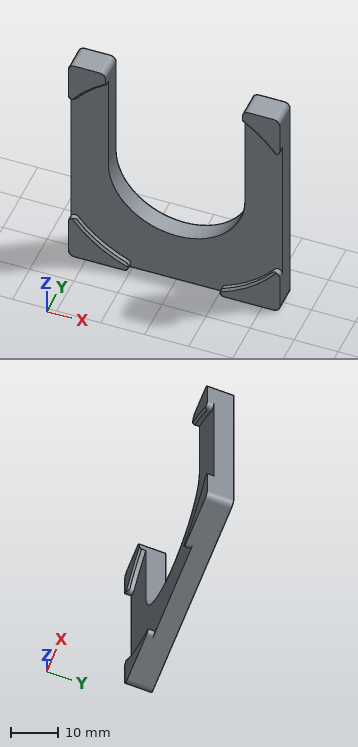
import cadquery as cq
import math

width = 48.0
height = 55.0
thickness = 6.0
corner_radius = 1.5

slot_radius = 15.5
slot_center_z = 28.0

recess_depth = 1.5
recess_radius = 28.3
chamfer = 0.5

tip_radius = 1.0

half_width = width / 2
tip_orbit = recess_radius + tip_radius


def front_plane(y):
    """XZ workplane at the given Y; extrusion runs toward -Y."""
    return cq.Workplane("XZ", origin=(0, y, slot_center_z))


def side_tip(direction):
    """Points of the tip at the right side edge: edge, extreme, tangency (direction: +1 up, -1 down)."""
    center_x = half_width - tip_radius
    center_z = math.sqrt(tip_orbit**2 - center_x**2)
    center = (center_x, center_z * direction)
    edge = (half_width, center_z * direction)
    extreme = (center_x, (center_z - tip_radius) * direction)
    tangency = tuple(c * recess_radius / tip_orbit for c in center)
    return edge, extreme, tangency


def bottom_tip():
    """Points of the tip at the bottom edge: tangency, extreme, edge."""
    center_z = tip_radius - slot_center_z
    center_x = math.sqrt(tip_orbit**2 - center_z**2)
    tangency = (center_x * recess_radius / tip_orbit, center_z * recess_radius / tip_orbit)
    extreme = (center_x - tip_radius, center_z)
    edge = (center_x, -slot_center_z)
    return tangency, extreme, edge


def recess_arc_middle(start, end):
    """Point of the recess circle halfway between two of its points."""
    angle = (math.atan2(start[1], start[0]) + math.atan2(end[1], end[0])) / 2
    return (recess_radius * math.cos(angle), recess_radius * math.sin(angle))


def lower_pad():
    edge, extreme, tangency = side_tip(-1)
    bottom_tangency, bottom_extreme, bottom_edge = bottom_tip()
    return (
        front_plane(recess_depth)
        .moveTo(half_width, -slot_center_z)
        .lineTo(*edge)
        .threePointArc(extreme, tangency)
        .threePointArc(recess_arc_middle(tangency, bottom_tangency), bottom_tangency)
        .threePointArc(bottom_extreme, bottom_edge)
        .close()
        .extrude(recess_depth)
    )


def upper_pad():
    edge, extreme, tangency = side_tip(1)
    top = height - slot_center_z
    slot_wall = (slot_radius, math.sqrt(recess_radius**2 - slot_radius**2))
    return (
        front_plane(recess_depth)
        .moveTo(half_width, top)
        .lineTo(*edge)
        .threePointArc(extreme, tangency)
        .threePointArc(recess_arc_middle(tangency, slot_wall), slot_wall)
        .lineTo(slot_radius, top)
        .close()
        .extrude(recess_depth)
    )


def blank():
    """Full-thickness plate with the slot cut and all outer corners rounded."""
    plate = cq.Workplane("XY").box(width, thickness, height, centered=(True, False, False))
    slot = front_plane(thickness).circle(slot_radius).extrude(thickness)
    opening = cq.Workplane("XY", origin=(0, 0, slot_center_z)).box(
        2 * slot_radius, thickness, height, centered=(True, False, False)
    )
    return plate.cut(slot).cut(opening).edges("|Y and (>Z or <Z)").fillet(corner_radius)


def chamfer_cone():
    """Cone that bevels the front rim of the recess."""
    front_circle = front_plane(0).circle(recess_radius + chamfer)
    return front_circle.workplane(offset=-chamfer).circle(recess_radius).loft()


envelope = cq.Workplane("XY", origin=(0, recess_depth, 0)).box(
    width, thickness - recess_depth, height, centered=(True, False, False)
)
for pad in (lower_pad(), upper_pad()):
    envelope = envelope.union(pad).union(pad.mirror("YZ"))

result = blank().intersect(envelope).cut(chamfer_cone())